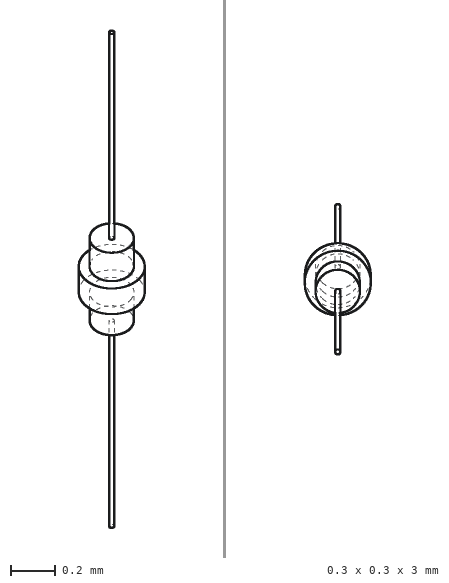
import cadquery as cq

total_length = 3.0
flange_diameter = 0.3
flange_thickness = 0.155
body_diameter = 0.2
body_length = 0.5
wire_diameter = 0.025


def centred_cylinder(diameter, length):
    """Cylinder along Z, centred on the origin."""
    base = cq.Workplane("XY").workplane(offset=-length / 2)
    return base.circle(diameter / 2).extrude(length)


wire = centred_cylinder(wire_diameter, total_length)

barrel = centred_cylinder(body_diameter, body_length)
flange = centred_cylinder(flange_diameter, flange_thickness)

result = barrel.union(flange).union(wire)